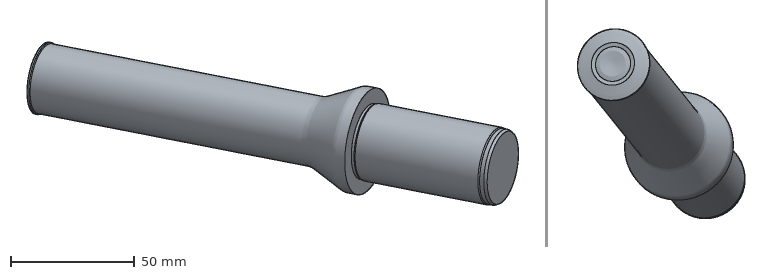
import cadquery as cq

TOTAL_LENGTH = 207.0

CAP_THICKNESS = 2.5
CAP_RADIUS = 15.0
CAP_BEVEL = 0.5
CAP_EDGE_LENGTH = 1.2
DOME_EDGE_RADIUS = 13.2
GROOVE_OUTER_RADIUS = 9.0
GROOVE_MID_RADIUS = 7.2
GROOVE_INNER_RADIUS = 5.4
DOME_HEIGHT = 0.8
GROOVE_DEPTH = 0.31
DISH_DEPTH = 0.6

ROD_RADIUS = 29.0 / 2
COLLAR_RADIUS = 44.0 / 2
CONE_START = 125.0
CONE_END = 141.5
COLLAR_END = 146.5
ROD_FILLET = 5.8
COLLAR_FILLET = 3.3
SELECTION_MARGIN = 1.0

SHANK_RADIUS = 32.0 / 2
RELIEF_RADIUS = 31.5 / 2
NECK_LENGTH = 1.2
RAMP_LENGTH = 0.6
TIP_LENGTH = 3.1
TIP_CHAMFER_LENGTH = 1.2
TIP_CHAMFER_DEPTH = 0.6


def revolve_about_x(profile):
    """Turn an (x, radius) outline, closed along the X axis, into a solid."""
    return profile.close().revolve(360, (0, 0, 0), (1, 0, 0))


def make_cap():
    """Domed cap whose flat back lies against the rod."""
    outline = [
        (DISH_DEPTH, 0),
        (0, GROOVE_INNER_RADIUS),
        (GROOVE_DEPTH, GROOVE_MID_RADIUS),
        (0, GROOVE_OUTER_RADIUS),
        (DOME_HEIGHT, DOME_EDGE_RADIUS),
        (CAP_EDGE_LENGTH, CAP_RADIUS),
        (CAP_THICKNESS - CAP_BEVEL, CAP_RADIUS),
        (CAP_THICKNESS, CAP_RADIUS - CAP_BEVEL),
        (CAP_THICKNESS, 0),
    ]
    return revolve_about_x(cq.Workplane("XY").polyline(outline))


def make_collared_rod():
    """Plain rod that flares through a rounded cone into a cylindrical collar."""
    outline = [
        (CAP_THICKNESS, 0),
        (CAP_THICKNESS, ROD_RADIUS),
        (CONE_START, ROD_RADIUS),
        (CONE_END, COLLAR_RADIUS),
        (COLLAR_END, COLLAR_RADIUS),
        (COLLAR_END, 0),
    ]
    rod = revolve_about_x(cq.Workplane("XY").polyline(outline))
    for corner_x, fillet_radius in ((CONE_START, ROD_FILLET), (CONE_END, COLLAR_FILLET)):
        corner = cq.selectors.BoxSelector(
            (corner_x - SELECTION_MARGIN, -COLLAR_RADIUS, -COLLAR_RADIUS),
            (corner_x + SELECTION_MARGIN, COLLAR_RADIUS, COLLAR_RADIUS),
        )
        rod = rod.edges("%CIRCLE").edges(corner).fillet(fillet_radius)
    return rod


def make_shank():
    """Cylinder with ramps down to the neck and tip, and a chamfered end."""
    neck_end = COLLAR_END + NECK_LENGTH
    tip_start = TOTAL_LENGTH - TIP_LENGTH
    outline = [
        (COLLAR_END, 0),
        (COLLAR_END, RELIEF_RADIUS),
        (neck_end, RELIEF_RADIUS),
        (neck_end + RAMP_LENGTH, SHANK_RADIUS),
        (tip_start - RAMP_LENGTH, SHANK_RADIUS),
        (tip_start, RELIEF_RADIUS),
        (TOTAL_LENGTH - TIP_CHAMFER_LENGTH, RELIEF_RADIUS),
        (TOTAL_LENGTH, RELIEF_RADIUS - TIP_CHAMFER_DEPTH),
        (TOTAL_LENGTH, 0),
    ]
    return revolve_about_x(cq.Workplane("XY").polyline(outline))


cap = make_cap()
pin = make_collared_rod().union(make_shank())

result = cq.Compound.makeCompound([cap.val(), pin.val()])